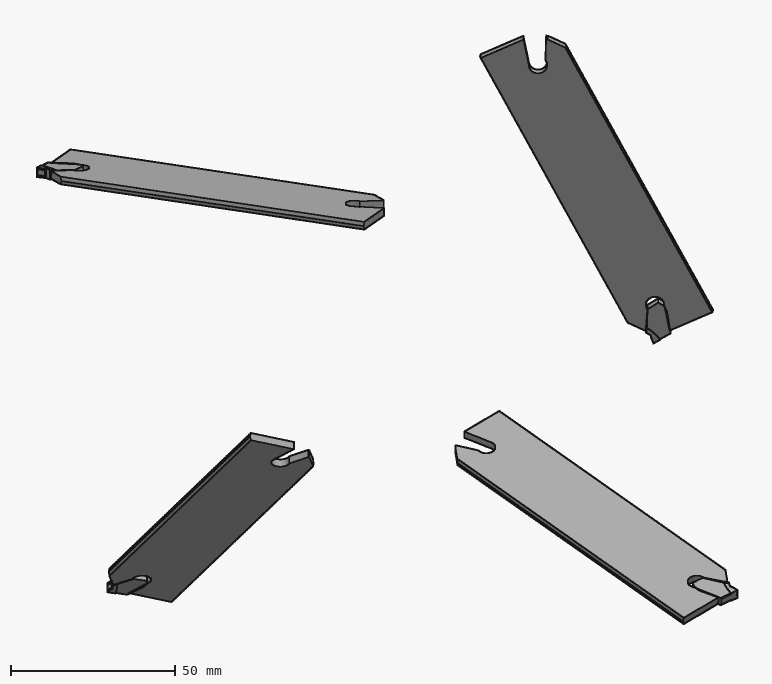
import cadquery as cq
import math

BLADE_LENGTH = 110.0
BLADE_WIDTH = 25.36
BLADE_THICKNESS = 2.5
EDGE_SLOPE = 15.0

NOSE_TIP = (52.06, 8.35)
NOSE_CORNER = (51.75, 8.8)
NOSE_SLOPE = 36.5

SLOT_CENTRE = (45.05, 2.2)
SLOT_RADIUS = 2.78
SEAT_SLOPE = 27.8
JAW_SLOPE = 15.8

TIP_THICKNESS = 3.1
BODY_THICKNESS = 2.9
OVERALL_LENGTH = 111.7
FRONT_X = BLADE_LENGTH / 2 - OVERALL_LENGTH
CUTTING_EDGE = (FRONT_X, -8.4)
FRONT_TOP = (-56.03, -2.2)
RIDGE_FRONT = (-48.78, 0.13)
RIDGE_BACK = (-46.36, 0.15)
BACK_TOP = (-44.68, -0.86)
BACK_BOTTOM = (-45.26, -4.9)
HEEL = (-52.2, -8.9)
CHIP_CREST = (-53.85, -7.9)
RAKE_END = (-54.2, -8.15)

TIP_LINE_FRONT_Y = -5.86
TIP_LINE_MIDDLE = (-53.4, -6.72)
TIP_LINE_BACK = (-50.6, -8.0)

FRONT_CHAMFER_Z = 0.3
FRONT_CHAMFER_X = 0.15

GROOVE_WIDTH = 1.9
GROOVE_DEPTH = 0.3
GROOVE_FRONT_GAP = 0.3

CUT_MARGIN = 5.0


def slab(outline, thickness):
    """Extrude a closed XY outline evenly to both sides of Z = 0."""
    return outline.extrude(thickness / 2, both=True)


def v_edged_bar():
    """Six-sided bar whose long edges are shallow V ridges."""
    ridge_y = BLADE_WIDTH / 2
    face_z = BLADE_THICKNESS / 2
    face_y = ridge_y - face_z * math.tan(math.radians(EDGE_SLOPE))
    section = [
        (ridge_y, 0),
        (face_y, face_z),
        (-face_y, face_z),
        (-ridge_y, 0),
        (-face_y, -face_z),
        (face_y, -face_z),
    ]
    return cq.Workplane("YZ").polyline(section).close().extrude(BLADE_LENGTH / 2, both=True)


def end_cut():
    """Material removed at the +X end: insert slot and the space beyond the nose."""
    seat = math.radians(SEAT_SLOPE)
    jaw = math.radians(JAW_SLOPE)
    outer_x = BLADE_LENGTH / 2 + CUT_MARGIN
    outer_y = BLADE_WIDTH / 2 + CUT_MARGIN
    centre_x, centre_y = SLOT_CENTRE

    jaw_start = (centre_x + SLOT_RADIUS * math.sin(jaw), centre_y - SLOT_RADIUS * math.cos(jaw))
    jaw_end = (outer_x, jaw_start[1] + (outer_x - jaw_start[0]) * math.tan(jaw))

    along = (-math.cos(seat), -math.sin(seat))
    from_centre = (NOSE_TIP[0] - centre_x, NOSE_TIP[1] - centre_y)
    half_b = along[0] * from_centre[0] + along[1] * from_centre[1]
    rest = from_centre[0] ** 2 + from_centre[1] ** 2 - SLOT_RADIUS ** 2
    reach = -half_b - math.sqrt(half_b ** 2 - rest)
    seat_start = (NOSE_TIP[0] + reach * along[0], NOSE_TIP[1] + reach * along[1])

    run_out_x = NOSE_CORNER[0] - (outer_y - NOSE_CORNER[1]) / math.tan(math.radians(NOSE_SLOPE))
    outline = (
        cq.Workplane("XY")
        .moveTo(*jaw_start)
        .threePointArc((centre_x - SLOT_RADIUS, centre_y), seat_start)
        .lineTo(*NOSE_TIP)
        .lineTo(*NOSE_CORNER)
        .lineTo(run_out_x, outer_y)
        .lineTo(outer_x, outer_y)
        .lineTo(*jaw_end)
        .close()
    )
    return slab(outline, BLADE_THICKNESS + CUT_MARGIN)


def make_blade():
    blade = v_edged_bar()
    for turn in (0, 180):
        blade = blade.cut(end_cut().rotate((0, 0, 0), (0, 0, 1), turn))
    return blade


def insert_outline():
    return cq.Workplane("XY").polyline([
        CUTTING_EDGE,
        FRONT_TOP,
        RIDGE_FRONT,
        RIDGE_BACK,
        BACK_TOP,
        BACK_BOTTOM,
        HEEL,
        CHIP_CREST,
        RAKE_END,
    ]).close()


def tip_zone():
    """Region below the curved step, where the insert has its full width."""
    outer_x = FRONT_X - CUT_MARGIN
    low_y = HEEL[1] - CUT_MARGIN
    outline = (
        cq.Workplane("XY")
        .moveTo(outer_x, TIP_LINE_FRONT_Y)
        .lineTo(FRONT_X, TIP_LINE_FRONT_Y)
        .threePointArc(TIP_LINE_MIDDLE, TIP_LINE_BACK)
        .lineTo(TIP_LINE_BACK[0], low_y)
        .lineTo(outer_x, low_y)
        .close()
    )
    return slab(outline, TIP_THICKNESS + CUT_MARGIN)


def chip_groove():
    """Shallow round-bottomed groove running from the cutting edge to the back of the rake."""
    rake_slope = (RAKE_END[1] - CUTTING_EDGE[1]) / (RAKE_END[0] - CUTTING_EDGE[0])
    start = (FRONT_X + GROOVE_FRONT_GAP, CUTTING_EDGE[1] + GROOVE_FRONT_GAP * rake_slope)
    bottom = ((start[0] + RAKE_END[0]) / 2, (start[1] + RAKE_END[1]) / 2 + GROOVE_DEPTH)
    outline = (
        cq.Workplane("XY")
        .moveTo(*start)
        .threePointArc(bottom, RAKE_END)
        .lineTo(RAKE_END[0], HEEL[1])
        .lineTo(start[0], HEEL[1])
        .close()
    )
    return slab(outline, GROOVE_WIDTH)


def make_insert(blade):
    tip = slab(insert_outline(), TIP_THICKNESS).intersect(tip_zone())
    body = slab(insert_outline(), BODY_THICKNESS)
    body = body.faces("<X").edges("not |Z").chamfer(FRONT_CHAMFER_Z, FRONT_CHAMFER_X)
    insert = body.cut(tip_zone()).union(tip).cut(chip_groove())
    return insert.cut(blade)


blade = make_blade()
insert = make_insert(blade)

result = cq.Compound.makeCompound([blade.val(), insert.val()])